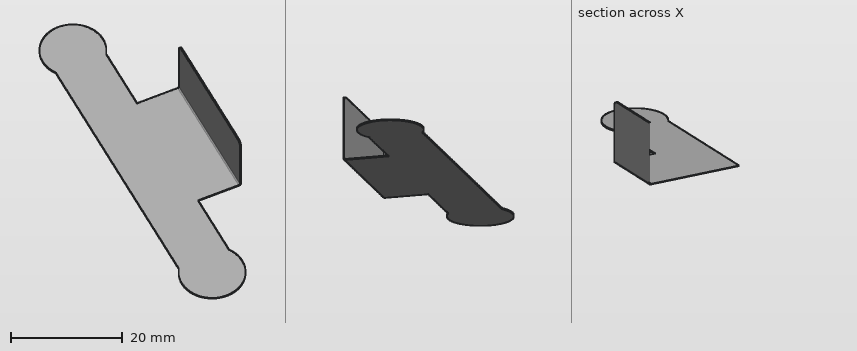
import cadquery as cq

length = 68.95
thickness = 0.25
disc_diameter = 12.0
bar_width = 10.0
flange_width = 24.95
flange_height = 12.0
flange_corner_radius = 0.95
total_depth = 19.5
bend_inner_radius = 0.25

disc_radius = disc_diameter / 2
disc_offset = length / 2 - disc_radius
back_y = total_depth - disc_radius
bend_outer_radius = bend_inner_radius + thickness


def base_plate():
    """Flat bar with a round pad at each end."""
    bar = cq.Workplane("XY").rect(2 * disc_offset, bar_width).extrude(thickness)
    pads = (
        cq.Workplane("XY")
        .pushPoints([(-disc_offset, 0), (disc_offset, 0)])
        .circle(disc_radius)
        .extrude(thickness)
    )
    return bar.union(pads)


def bent_tab():
    """L-shaped tab running back from the bar and bent upwards."""
    inner_y = back_y - thickness
    tab = (
        cq.Workplane("YZ")
        .lineTo(back_y - bend_outer_radius, 0)
        .radiusArc((back_y, bend_outer_radius), -bend_outer_radius)
        .lineTo(back_y, flange_height)
        .lineTo(inner_y, flange_height)
        .lineTo(inner_y, bend_outer_radius)
        .radiusArc((back_y - bend_outer_radius, thickness), bend_inner_radius)
        .lineTo(0, thickness)
        .close()
        .extrude(flange_width / 2, both=True)
    )
    return tab.faces(">Z").edges("|Y").fillet(flange_corner_radius)


result = base_plate().union(bent_tab())